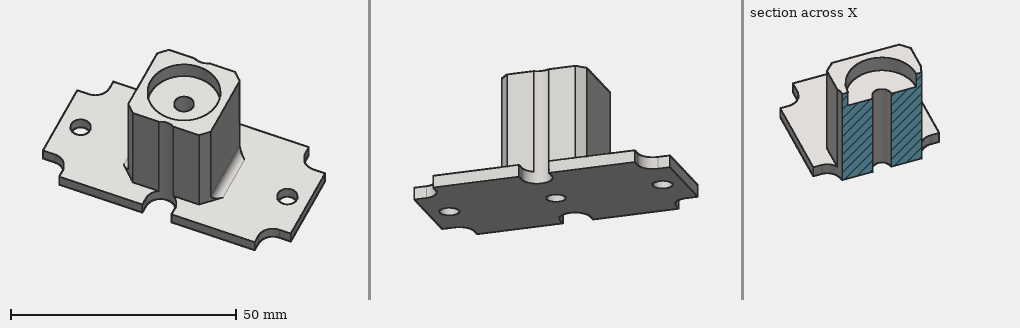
import cadquery as cq

PLATE_LENGTH = 60.0
PLATE_WIDTH = 30.0
PLATE_THICKNESS = 2.8
MOUNT_HOLE_DIAMETER = 4.5
MOUNT_HOLE_EDGE_DISTANCE = 5.0

NOTCH_DIAMETER = 7.0
NOTCH_CENTER_DEPTH = 2.0
CORNER_CENTER_INSET = 2.8

BLOCK_SIDE = 20.0
BLOCK_HEIGHT = 24.0
CORNER_CHAMFER = 2.0
FOOT_FILLET = 2.0

RECESS_DIAMETER = 16.2
RECESS_DEPTH = 4.0
BORE_DIAMETER = 4.4

TOTAL_HEIGHT = PLATE_THICKNESS + BLOCK_HEIGHT


def make_plate():
    plate = (
        cq.Workplane("XY")
        .rect(PLATE_LENGTH, PLATE_WIDTH)
        .extrude(PLATE_THICKNESS)
    )
    hole_x = PLATE_LENGTH / 2 - MOUNT_HOLE_EDGE_DISTANCE
    return (
        plate.faces(">Z").workplane()
        .pushPoints([(-hole_x, 0), (hole_x, 0)])
        .hole(MOUNT_HOLE_DIAMETER)
    )


def make_block():
    """Square block with filleted feet along X, trimmed by 45 degree corner planes."""
    half = BLOCK_SIDE / 2
    foot = half + FOOT_FILLET
    fillet_top = PLATE_THICKNESS + FOOT_FILLET
    bulge = FOOT_FILLET * (1 - 0.5 ** 0.5)
    profile = (
        cq.Workplane("XZ")
        .moveTo(-foot, PLATE_THICKNESS)
        .threePointArc((-half - bulge, PLATE_THICKNESS + bulge), (-half, fillet_top))
        .lineTo(-half, TOTAL_HEIGHT)
        .lineTo(half, TOTAL_HEIGHT)
        .lineTo(half, fillet_top)
        .threePointArc((half + bulge, PLATE_THICKNESS + bulge), (foot, PLATE_THICKNESS))
        .close()
        .extrude(half, both=True)
    )
    trim_side = BLOCK_SIDE + 2 * FOOT_FILLET
    trim = (
        cq.Workplane("XY")
        .rect(trim_side, trim_side)
        .extrude(TOTAL_HEIGHT)
        .edges("|Z")
        .chamfer(CORNER_CHAMFER + 2 * FOOT_FILLET)
    )
    return profile.intersect(trim)


def make_notch_cutter(center_x):
    """Vertical round-ended slot open through the +Y long edge."""
    center_y = PLATE_WIDTH / 2 - NOTCH_CENTER_DEPTH
    straight_part = (
        cq.Workplane("XY")
        .center(center_x, center_y)
        .rect(NOTCH_DIAMETER, 2 * NOTCH_DIAMETER)
        .extrude(TOTAL_HEIGHT)
        .translate((0, NOTCH_DIAMETER, 0))
    )
    round_end = (
        cq.Workplane("XY")
        .center(center_x, center_y)
        .circle(NOTCH_DIAMETER / 2)
        .extrude(TOTAL_HEIGHT)
    )
    return straight_part.union(round_end)


def make_corner_cutter():
    """Notch at the +X +Y corner, also open through the +X end."""
    center_x = PLATE_LENGTH / 2 - CORNER_CENTER_INSET
    floor_y = PLATE_WIDTH / 2 - NOTCH_CENTER_DEPTH - NOTCH_DIAMETER / 2
    end_opening = (
        cq.Workplane("XY")
        .box(NOTCH_DIAMETER, 2 * NOTCH_DIAMETER, TOTAL_HEIGHT, centered=False)
        .translate((center_x, floor_y, 0))
    )
    return make_notch_cutter(center_x).union(end_opening)


body = make_plate().union(make_block())

side_notch = make_notch_cutter(0)
body = body.cut(side_notch).cut(side_notch.mirror("XZ"))

corner = make_corner_cutter()
for cutter in (corner, corner.mirror("YZ")):
    body = body.cut(cutter).cut(cutter.mirror("XZ"))

result = (
    body.faces(">Z").workplane(origin=(0, 0, TOTAL_HEIGHT))
    .cboreHole(BORE_DIAMETER, RECESS_DIAMETER, RECESS_DEPTH)
)